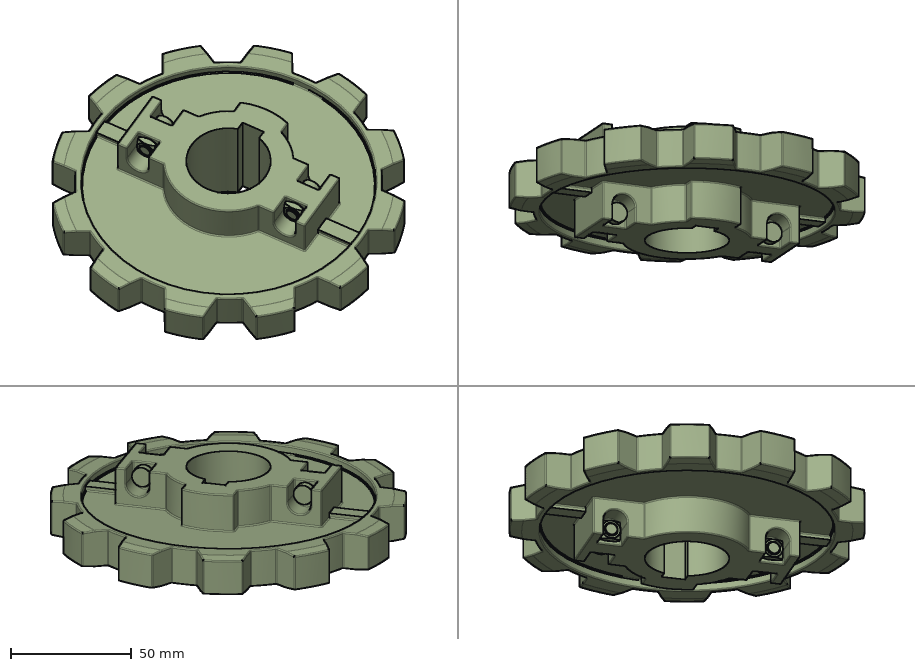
import cadquery as cq
import math

tooth_count = 12
tooth_pitch = 360 / tooth_count
tip_radius = 73.6
root_radius = 63.6
tip_half_angle = 6.4
root_half_angle = 10.1
rim_thickness = 16.2
taper_start_radius = 68.5
taper_drop = 0.6

recess_radius = 61.0
web_thickness = 8.7
rib_width = 7.0
rib_thickness = 12.5

hub_height = 41.3
hub_radius = 26.9
clamp_half_length = 44.5
clamp_half_width = 14.7
key_boss_radius = 31.9
key_boss_width = 22.5
bore_diameter = 34.9
keyway_width = 10.0
keyway_top = 20.7

edge_round = 0.5

bolt_x = 34.9
bolt_z = 15.1
shank_diameter = 5.8
shank_chamfer = 0.5
shank_overhang = 0.5
head_diameter = 8.5
head_height = 3.6
nut_width = 8.1
nut_height = 3.2
nut_face_diameter = 7.9
nut_chamfer_angle = 30
seat_y = 5.0
pocket_radius = 5.1
pocket_axis_z = 14.0

selection_margin = 0.1

bolt_places = [(x, z) for x in (-bolt_x, bolt_x) for z in (-bolt_z, bolt_z)]


def polar(radius, angle):
    a = math.radians(angle)
    return (radius * math.cos(a), radius * math.sin(a))


def slab(sketch, thickness):
    """Extrude an XY sketch evenly to both sides of the XY plane."""
    return sketch.extrude(thickness / 2, both=True)


def rim_outline():
    """Straight-sided teeth joined by arcs; the first tooth is centred half a pitch from +X."""
    outline = cq.Workplane("XY").moveTo(*polar(root_radius, tooth_pitch / 2 - root_half_angle))
    for i in range(tooth_count):
        middle = (i + 0.5) * tooth_pitch
        outline = (
            outline.lineTo(*polar(tip_radius, middle - tip_half_angle))
            .threePointArc(polar(tip_radius, middle), polar(tip_radius, middle + tip_half_angle))
            .lineTo(*polar(root_radius, middle + root_half_angle))
            .threePointArc(
                polar(root_radius, middle + tooth_pitch / 2),
                polar(root_radius, middle + tooth_pitch - root_half_angle),
            )
        )
    return outline.close()


def tapered_disc():
    """Disc whose faces slope together outside the taper start radius."""
    half = rim_thickness / 2
    slope = taper_drop / (tip_radius - taper_start_radius)
    reach = tip_radius + taper_drop
    edge = half - slope * (reach - taper_start_radius)
    profile = [
        (0, -half),
        (taper_start_radius, -half),
        (reach, -edge),
        (reach, edge),
        (taper_start_radius, half),
        (0, half),
    ]
    return cq.Workplane("XZ").polyline(profile).close().revolve(360, (0, 0), (0, 1))


def is_arc_of(edge, radius):
    return edge.geomType() == "CIRCLE" and abs(edge.radius() - radius) < 0.001


def make_rim():
    rim = slab(rim_outline(), rim_thickness).edges("|Z").fillet(edge_round).intersect(tapered_disc())
    outer_edges = [e for e in rim.edges("not |Z").vals() if not is_arc_of(e, taper_start_radius)]
    rim = rim.newObject(outer_edges).fillet(edge_round)
    opening = slab(cq.Workplane("XY").circle(recess_radius), rim_thickness)
    rim = rim.cut(opening)
    inner_edges = [e for e in rim.edges().vals() if is_arc_of(e, recess_radius)]
    return rim.newObject(inner_edges).fillet(edge_round)


def make_hub():
    """Round barrel with a clamp bar along X and a boss behind the keyway."""
    barrel = slab(cq.Workplane("XY").circle(hub_radius), hub_height)
    clamp = slab(cq.Workplane("XY").rect(2 * clamp_half_length, 2 * clamp_half_width), hub_height)
    boss_strip = cq.Workplane("XY").center(0, key_boss_radius / 2).rect(key_boss_width, key_boss_radius)
    boss = slab(cq.Workplane("XY").circle(key_boss_radius), hub_height).intersect(
        slab(boss_strip, hub_height)
    )
    hub = barrel.union(clamp).union(boss)
    return hub.edges("|Z").fillet(edge_round)


def make_body():
    web = slab(cq.Workplane("XY").circle(recess_radius), web_thickness)
    rib = slab(cq.Workplane("XY").rect(2 * recess_radius, rib_width), rib_thickness).intersect(
        slab(cq.Workplane("XY").circle(recess_radius), rib_thickness)
    )
    body = make_rim().union(web).union(rib).union(make_hub())
    return round_recess_corners(body)


def round_recess_corners(body):
    """Fillet the edges of the recess floor on both faces of the web."""
    for side in (-1, 1):
        level = side * web_thickness / 2
        reach = recess_radius + edge_round
        floor_zone = cq.selectors.BoxSelector(
            (-reach, -reach, level - selection_margin), (reach, reach, level + selection_margin)
        )
        body = body.edges(floor_zone).fillet(edge_round)
    return body


def cut_bore(body):
    bore = slab(cq.Workplane("XY").circle(bore_diameter / 2), hub_height)
    keyway = slab(cq.Workplane("XY").center(0, keyway_top / 2).rect(keyway_width, keyway_top), hub_height)
    return body.cut(bore).cut(keyway)


def make_pocket():
    """Pocket on the -Y side of the clamp, round-bottomed and open upward and outward."""
    base = cq.Workplane("XZ", origin=(bolt_x, -seat_y, pocket_axis_z))
    pocket = (
        base.moveTo(-pocket_radius, hub_height)
        .lineTo(-pocket_radius, 0)
        .threePointArc((0, -pocket_radius), (pocket_radius, 0))
        .lineTo(pocket_radius, hub_height)
        .close()
        .extrude(clamp_half_width)
    )
    return pocket.faces(">Y").edges().fillet(edge_round)


def cut_pockets(body):
    pocket = make_pocket()
    pocket = pocket.union(pocket.mirror("YZ"))
    pocket = pocket.union(pocket.mirror("XY"))
    body = body.cut(pocket).cut(pocket.mirror("XZ"))
    return round_hub_edges(body)


def pocket_mouth_zone(x, y, z):
    """Box around the edges where one pocket opens through the clamp's long side."""
    reach = pocket_radius + selection_margin
    return cq.selectors.BoxSelector(
        (x - reach, y - selection_margin, z - reach), (x + reach, y + selection_margin, z + reach)
    )


def round_hub_edges(body):
    rounded = body.faces("<Z or >Z").edges()
    for x, z in bolt_places:
        for y in (-clamp_half_width, clamp_half_width):
            rounded = rounded.add(body.edges(pocket_mouth_zone(x, y, z)))
    return body.newObject(rounded.vals()).fillet(edge_round)


def cut_bolt_holes(body):
    holes = (
        cq.Workplane("XZ", origin=(0, seat_y, 0))
        .pushPoints(bolt_places)
        .circle(shank_diameter / 2)
        .extrude(2 * seat_y)
    )
    return body.cut(holes)


def make_wheel():
    return cut_bolt_holes(cut_bore(cut_pockets(make_body())))


def make_bolt(x, z):
    head = cq.Workplane("XZ", origin=(x, seat_y, z)).circle(head_diameter / 2).extrude(-head_height)
    shank = (
        cq.Workplane("XZ", origin=(x, seat_y, z))
        .circle(shank_diameter / 2)
        .extrude(2 * seat_y + nut_height + shank_overhang)
        .faces("<Y")
        .chamfer(shank_chamfer)
    )
    return head.union(shank)


def make_nut(x, z):
    """Square nut with its corners chamfered by a cone at each end."""
    block = cq.Workplane("XZ", origin=(x, -seat_y, z)).rect(nut_width, nut_width).extrude(nut_height)
    slope = math.tan(math.radians(nut_chamfer_angle))
    cone_height = nut_face_diameter / 2 * slope
    waist_radius = (nut_height / 2 + cone_height) / slope
    double_cone = (
        cq.Workplane("XY", origin=(x, -seat_y, z))
        .polyline([(0, cone_height), (waist_radius, -nut_height / 2), (0, -nut_height - cone_height)])
        .close()
        .revolve(360, (0, 0), (0, 1))
    )
    hole = cq.Workplane("XZ", origin=(x, -seat_y, z)).circle(shank_diameter / 2).extrude(nut_height)
    return block.intersect(double_cone).cut(hole)


wheel = make_wheel()
bolts = [make_bolt(x, z) for x, z in bolt_places]
nuts = [make_nut(x, z) for x, z in bolt_places]
result = cq.Compound.makeCompound(
    [wheel.val(), *[bolt.val() for bolt in bolts], *[nut.val() for nut in nuts]]
)